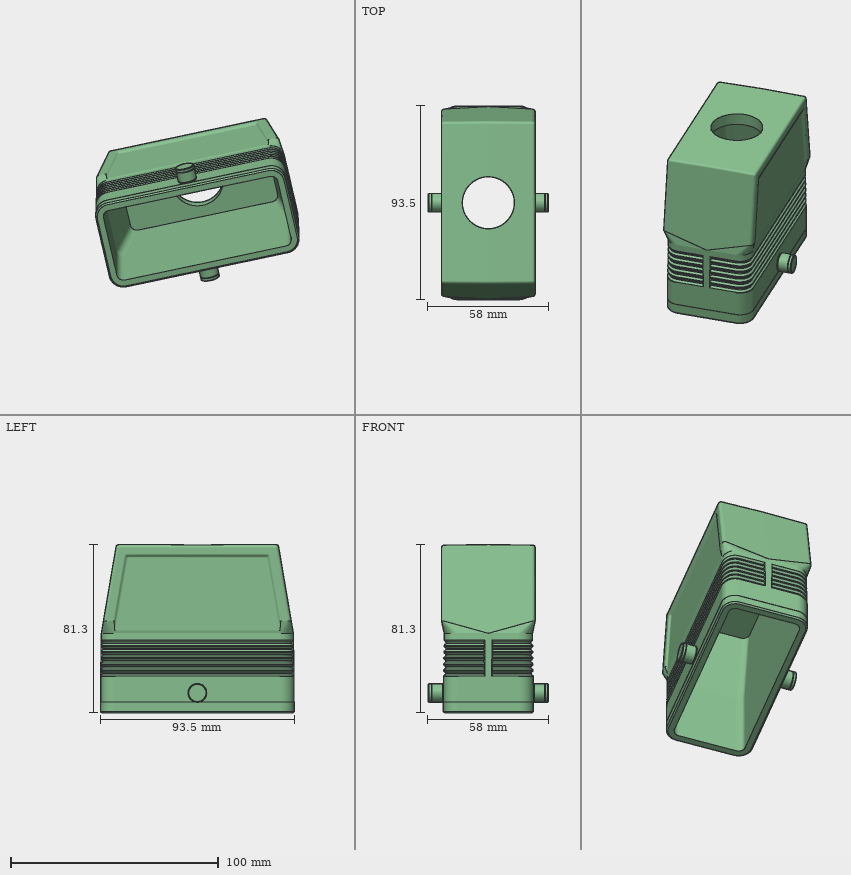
import cadquery as cq
import math

BASE_LENGTH = 93.5
BASE_WIDTH = 43.5
HEIGHT = 81.25
PIN_SPAN = 58.0

RIM_TOP = 5.3
RIM_CHAMFER = 0.75
RIM_STEP = 0.1
CORNER_RADIUS = 7.0
SKIRT_CORNER_RADIUS = 6.6
BODY_TOP = 38.4
BODY_DRAFT = math.radians(0.9)

GRIP_BOTTOM = 17.6
GRIP_TOP = 35.3
GROOVE_COUNT = 6
GROOVE_DEPTH = 0.9
RIDGE_FLAT = 0.5
STRIP_WIDTH = 3.0
STRIP_FLARE = 0.8

HOOD_BOTTOM = 44.3
HOOD_WIDTH = 45.3
END_SLOPE = 0.17
END_RIDGE = 0.2
ROOF_RIDGE = 0.3
HOOD_FILLET = 1.4

PANEL_TOP = 76.2
PANEL_TOP_LENGTH = 69.4
PANEL_DEPTH = 1.0
PANEL_FILLET = 0.9
PANEL_CORNER_RADIUS = 1.4

ENTRY_DIAMETER = 25.0
ROOF_THICKNESS = 5.9
SIDE_WALL = 3.7

PIN_DIAMETER = 9.1
PIN_HEIGHT = 9.7
PIN_NECK_DIAMETER = 8.4
PIN_NECK_END = 22.2
PIN_CHAMFER = 0.4
PIN_LINE_OFFSET = 1.7
PIN_LINE_WIDTH = 0.4
PIN_LINE_DEPTH = 0.2

OVERSIZE = 112.2
TOLERANCE = 0.01


def block(width, length, bottom, top):
    return cq.Workplane("XY", origin=(0, 0, bottom)).rect(width, length).extrude(top - bottom)


def rounded_block(width, length, radius, bottom, top):
    return block(width, length, bottom, top).edges("|Z").fillet(radius)


def body_inset(z):
    """Distance of the drafted wall inside the rim at height z."""
    return RIM_STEP + (z - GRIP_BOTTOM) * math.tan(BODY_DRAFT)


def rounded_wire(width, length, radius, z):
    outline = cq.Workplane("XY", origin=(0, 0, z)).rect(width, length).val()
    return outline.fillet2D(radius, outline.Vertices())


def body_wire(z, depth=0.0):
    """Body outline at height z, moved inward by depth."""
    inset = body_inset(z) + depth
    return rounded_wire(BASE_WIDTH - 2 * inset, BASE_LENGTH - 2 * inset, CORNER_RADIUS - inset, z)


def ruled_loft(*wires):
    return cq.Workplane(obj=cq.Solid.makeLoft(list(wires), True))


def end_y(z):
    """Y of the hood's end ridge at height z."""
    return BASE_LENGTH / 2 - body_inset(BODY_TOP) - END_SLOPE * (z - BODY_TOP)


def make_body():
    rim = rounded_block(BASE_WIDTH, BASE_LENGTH, CORNER_RADIUS, 0, RIM_TOP)
    rim = rim.faces("<Z").edges().chamfer(RIM_CHAMFER)
    skirt = rounded_block(
        BASE_WIDTH - 2 * RIM_STEP,
        BASE_LENGTH - 2 * RIM_STEP,
        SKIRT_CORNER_RADIUS,
        RIM_TOP,
        GRIP_BOTTOM,
    )
    drafted_wall = ruled_loft(body_wire(GRIP_BOTTOM), body_wire(BODY_TOP))
    return rim.union(skirt).union(drafted_wall)


def make_grooves():
    """Ring-shaped cutters, interrupted by a plain strip in the middle of each end."""
    pitch = (GRIP_TOP - GRIP_BOTTOM) / GROOVE_COUNT
    grooves = cq.Workplane("XY")
    for index in range(GROOVE_COUNT):
        bottom = GRIP_BOTTOM + index * pitch + RIDGE_FLAT / 2
        top = bottom + pitch - RIDGE_FLAT
        core = ruled_loft(
            body_wire(bottom),
            body_wire(bottom + GROOVE_DEPTH, GROOVE_DEPTH),
            body_wire(top - GROOVE_DEPTH, GROOVE_DEPTH),
            body_wire(top),
        )
        grooves = grooves.add(block(OVERSIZE, OVERSIZE, bottom, top).cut(core))

    outer_y = BASE_LENGTH / 2
    inner_y = outer_y - body_inset(GRIP_TOP) - GROOVE_DEPTH
    outer_x = STRIP_WIDTH / 2
    inner_x = outer_x + STRIP_FLARE
    strip = (
        cq.Workplane("XY", origin=(0, 0, GRIP_BOTTOM))
        .polyline([(-inner_x, inner_y), (-outer_x, outer_y), (outer_x, outer_y), (inner_x, inner_y)])
        .close()
        .extrude(GRIP_TOP - GRIP_BOTTOM)
    )
    return grooves.combine().cut(strip).cut(strip.mirror("XZ"))


def hood_wire(z):
    """Six-sided hood outline at height z, pointed slightly at the middle of each end."""
    half_width = HOOD_WIDTH / 2
    ridge_y = end_y(z)
    corner_y = ridge_y - END_RIDGE
    points = [
        (half_width, -corner_y, z),
        (half_width, corner_y, z),
        (0, ridge_y, z),
        (-half_width, corner_y, z),
        (-half_width, -corner_y, z),
        (0, -ridge_y, z),
    ]
    return cq.Wire.makePolygon([cq.Vector(*point) for point in points], close=True)


def make_panel_recess():
    """Cutter for the +X recess: 45 degree bevels, rounded at the floor, open at its lower edge."""
    def outline(x, inset):
        top_y = PANEL_TOP_LENGTH / 2 - inset
        bottom_y = top_y + END_SLOPE * (PANEL_TOP - BODY_TOP)
        points = [
            (x, -bottom_y, BODY_TOP),
            (x, bottom_y, BODY_TOP),
            (x, top_y, PANEL_TOP - inset),
            (x, -top_y, PANEL_TOP - inset),
        ]
        return cq.Wire.makePolygon([cq.Vector(*point) for point in points], close=True)

    def is_upper_corner(edge):
        return edge.BoundingBox().xlen > PANEL_DEPTH / 2 and edge.Center().z > HOOD_BOTTOM

    def is_above_opening(edge):
        return edge.Center().z > HOOD_BOTTOM

    surface = HOOD_WIDTH / 2
    floor = surface - PANEL_DEPTH
    recess = ruled_loft(outline(floor, PANEL_DEPTH), outline(surface, 0))
    recess = recess.edges().filter(is_upper_corner).fillet(PANEL_CORNER_RADIUS)
    return recess.faces("<X").edges().filter(is_above_opening).fillet(PANEL_FILLET)


def is_panel_rim(edge):
    """True for the recess edges that lie in a side face of the hood, inside its border."""
    centre = edge.Center()
    on_side = abs(abs(centre.x) - HOOD_WIDTH / 2) < TOLERANCE
    within_border = centre.z < PANEL_TOP + TOLERANCE and abs(centre.y) < end_y(centre.z) - 2 * HOOD_FILLET
    return on_side and within_border and centre.z > HOOD_BOTTOM


def is_rounded_hood_edge(edge):
    """True for corner and roof edges, false for the centre ridges and the bottom edges."""
    centre = edge.Center()
    return abs(centre.x) > TOLERANCE and centre.z > HOOD_BOTTOM


def make_hood(recesses):
    half_width = HOOD_WIDTH / 2
    eaves = HEIGHT - ROOF_RIDGE
    roof = (
        cq.Workplane("XZ")
        .polyline([(-half_width, 0), (half_width, 0), (half_width, eaves), (0, HEIGHT), (-half_width, eaves)])
        .close()
        .extrude(OVERSIZE / 2, both=True)
    )
    hood = ruled_loft(hood_wire(BODY_TOP), hood_wire(HEIGHT)).intersect(roof)
    sharp_edges = hood.edges().filter(is_rounded_hood_edge)
    hood = sharp_edges.fillet(HOOD_FILLET).cut(recesses)
    hood = hood.edges().filter(is_panel_rim).fillet(PANEL_FILLET)

    corner_x = half_width - HOOD_FILLET
    keep = (
        cq.Workplane("XZ")
        .polyline([(0, BODY_TOP), (corner_x, HOOD_BOTTOM), (-corner_x, HOOD_BOTTOM)])
        .close()
        .extrude(OVERSIZE / 2, both=True)
        .union(block(OVERSIZE, OVERSIZE, HOOD_BOTTOM, HEIGHT))
    )
    return hood.intersect(keep)


def make_shoulder():
    """Transition from the rounded body up to the nearly square hood."""
    hood_length = 2 * (end_y(HOOD_BOTTOM) - END_RIDGE)
    return ruled_loft(
        body_wire(BODY_TOP),
        rounded_wire(HOOD_WIDTH, hood_length, HOOD_FILLET, HOOD_BOTTOM),
    )


def make_cavity():
    width = BASE_WIDTH - 2 * SIDE_WALL
    lower_length = BASE_LENGTH - 2 * SIDE_WALL
    roof_z = HEIGHT - ROOF_THICKNESS
    upper_length = 2 * (end_y(roof_z) - SIDE_WALL)
    radius = CORNER_RADIUS - SIDE_WALL
    cavity = ruled_loft(
        rounded_wire(width, lower_length, radius, 0),
        rounded_wire(width, lower_length, radius, BODY_TOP),
        rounded_wire(width, upper_length, radius, roof_z),
    )
    entry = cq.Workplane("XY", origin=(0, 0, BODY_TOP)).circle(ENTRY_DIAMETER / 2).extrude(HEIGHT)
    return cavity.union(entry)


def make_pin():
    """Locking pin on the +X side, turned about a horizontal axis."""
    tip = PIN_SPAN / 2
    root = BASE_WIDTH / 2 - SIDE_WALL / 2
    radius = PIN_DIAMETER / 2
    neck = PIN_NECK_DIAMETER / 2
    line = tip - PIN_LINE_OFFSET
    profile = [
        (root, 0),
        (root, neck),
        (PIN_NECK_END, neck),
        (PIN_NECK_END, radius),
        (line - PIN_LINE_WIDTH / 2, radius),
        (line, radius - PIN_LINE_DEPTH),
        (line + PIN_LINE_WIDTH / 2, radius),
        (tip - PIN_CHAMFER, radius),
        (tip, radius - PIN_CHAMFER),
        (tip, 0),
    ]
    pin = cq.Workplane("XZ").polyline(profile).close().revolve(360, (0, 0, 0), (1, 0, 0))
    return pin.translate((0, 0, PIN_HEIGHT))


recess = make_panel_recess()
recesses = recess.union(recess.mirror("YZ"))
pin = make_pin()

result = (
    make_body()
    .cut(make_grooves())
    .union(make_shoulder().cut(recesses))
    .union(make_hood(recesses))
    .cut(make_cavity())
    .union(pin)
    .union(pin.mirror("YZ"))
)